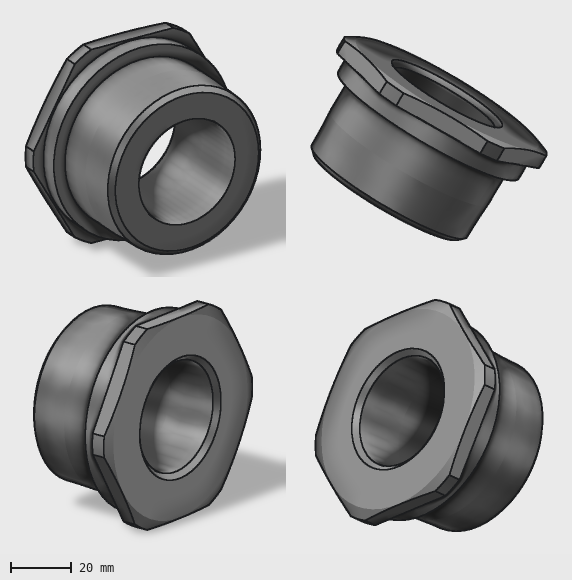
import cadquery as cq

corner_diameter = 76.95
across_flats = 70.0
head_thickness = 5.85
corner_rotation = 30
head_face_diameter = 69.5
head_chamfer_depth = 1.0

collar_diameter = 69.0
collar_end = 12.15
shank_diameter = 60.3
taper_start = 24.7
taper_end_diameter = 59.4
end_chamfer_start = 37.7
end_diameter = 55.7
total_length = 39.5

bore_diameter = 37.4
bore_entry_diameter = 42.1
bore_chamfer_end_diameter = 38.3
bore_chamfer_depth = 1.85
bore_taper_end = 19.7


def revolve_profile(stations):
    """Solid of revolution about X from (position, diameter) stations."""
    first_x = stations[0][0]
    last_x = stations[-1][0]
    outline = [(x, diameter / 2) for x, diameter in stations]
    points = [(first_x, 0)] + outline + [(last_x, 0)]
    return cq.Workplane("XY").polyline(points).close().revolve(360, (0, 0, 0), (1, 0, 0))


def make_head():
    """Hexagon with corners along Y, turned round at the corners and bevelled on its face."""
    hexagon = (
        cq.Workplane("YZ")
        .polygon(6, across_flats, circumscribed=True)
        .extrude(head_thickness)
        .rotate((0, 0, 0), (1, 0, 0), corner_rotation)
    )
    turned_blank = revolve_profile([
        (0, head_face_diameter),
        (head_chamfer_depth, corner_diameter),
        (head_thickness, corner_diameter),
    ])
    return hexagon.intersect(turned_blank)


def make_shank():
    """Collar, cylindrical shank, slight taper and end chamfer."""
    return revolve_profile([
        (head_thickness, collar_diameter),
        (collar_end, collar_diameter),
        (collar_end, shank_diameter),
        (taper_start, shank_diameter),
        (end_chamfer_start, taper_end_diameter),
        (total_length, end_diameter),
    ])


def make_bore():
    """Through bore: entry chamfer and slight taper leading into a straight bore."""
    return revolve_profile([
        (0, bore_entry_diameter),
        (bore_chamfer_depth, bore_chamfer_end_diameter),
        (bore_taper_end, bore_diameter),
        (total_length, bore_diameter),
    ])


result = make_head().union(make_shank()).cut(make_bore())